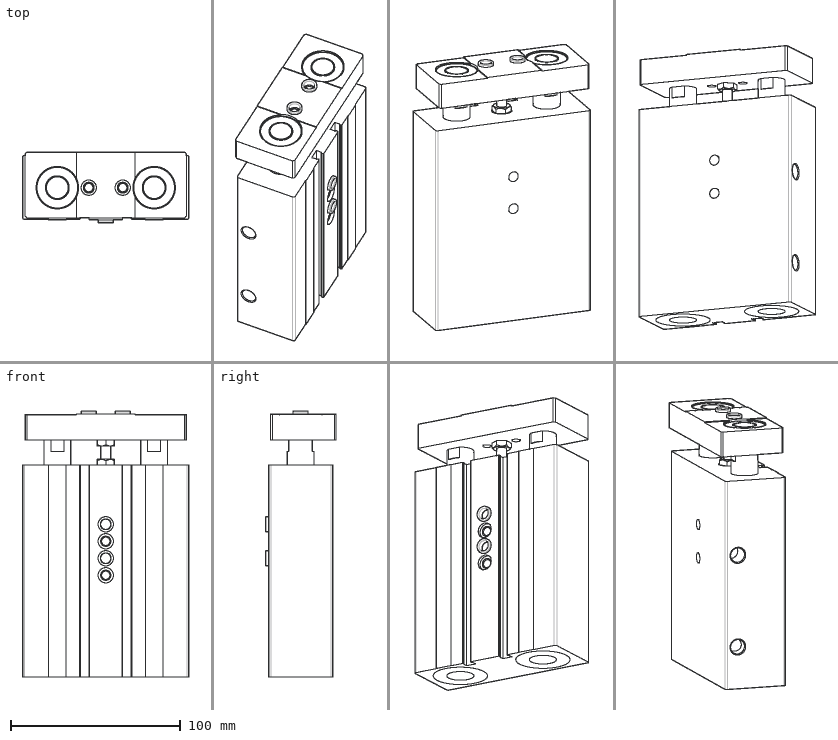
import cadquery as cq
import math


HOUSING_WIDTH = 98.0
HOUSING_HEIGHT = 125.0
HOUSING_BACK_Y = 19.0
HOUSING_FRONT_Y = -19.0
SIDE_FACE_DROP = 0.3
HOUSING_EDGE_RADIUS = 1.2
STRIP_WIDTH = 10.3

SLOT_INNER_X = 10.0
SLOT_OUTER_X = 15.0
SLOT_DEPTH = 5.0
SLOT_LIP = 1.3
SLOT_UNDERCUT = 0.6
SLOT_MOUTH_CHAMFER = 0.4

PLATE_WIDTH = 95.0
PLATE_BACK_Y = 21.0
PLATE_FRONT_Y = -17.75
PLATE_BOTTOM_Z = 139.5
PLATE_TOP_Z = 154.5
PLATE_EDGE = 1.1
PAD_WIDTH = 34.5
PAD_TOP_Z = 155.0

ROD_X = 28.5
ROD_DIAMETER = 16.0
ROD_FLAT_SIZE = 14.0
ROD_FLAT_HEIGHT = 6.5
ROD_RING_OUTER = 25.0
ROD_RING_INNER = 24.0
ROD_RECESS_DEPTH = 0.5
ROD_RING_DEPTH = 1.0
ROD_TIP_DIAMETER = 14.0
ROD_TIP_CHAMFER = 0.6

PISTON_ROD_DIAMETER = 12.0
PISTON_ROD_DEPTH = 20.0
PISTON_THREAD_DIAMETER = 6.0
HEX_SIZE = 10.0
HEX_TURN = 1.5
HEX_BEVEL = 0.9
NUT_HEIGHT = 3.5
WRENCH_HEX_HEIGHT = 3.3

BEARING_DIAMETER = 32.0
BEARING_HEIGHT = 40.0

PORT_Y = 11.3
PORT_HEIGHTS = (25.2, 80.2)
PORT_DIAMETER = 8.57
PORT_MOUTH_DIAMETER = 9.73
PORT_DEPTH = 12.5

SLEEVE_DIAMETER = 9.0
SLEEVE_BORE = 6.4
SLEEVE_PROUD = 1.8
SLEEVE_SEAT_DEPTH = 2.1
CLEARANCE_DIAMETER = 6.0
TAP_DIAMETER = 4.92
TAP_MOUTH_DIAMETER = 6.0
TAP_DEPTH = 12.0
SLEEVED_HOLE_HEIGHTS = (70.0, 90.0)
TAPPED_HOLE_HEIGHTS = (60.0, 80.0)
PLATE_SLEEVE_X = 10.0

DRILL_TIP_HALF_ANGLE = math.radians(59)


def vertical_bar(x, y_front, y_back, width, z_bottom, z_top):
    """Upright box centred on x, between two Y planes and two Z planes."""
    return (
        cq.Workplane("XY", origin=(x, (y_front + y_back) / 2, z_bottom))
        .rect(width, y_back - y_front)
        .extrude(z_top - z_bottom)
    )


def vertical_cylinder(x, diameter, z_bottom, z_top):
    """Upright cylinder whose axis crosses the X axis."""
    return (
        cq.Workplane("XY", origin=(x, 0, z_bottom))
        .circle(diameter / 2)
        .extrude(z_top - z_bottom)
    )


def drill(diameter, mouth_diameter, depth):
    """Blind drill with a 45-degree mouth and a cone tip, mouth at Z = 0, cutting towards -Z."""
    radius = diameter / 2
    mouth_radius = mouth_diameter / 2
    tip_height = radius / math.tan(DRILL_TIP_HALF_ANGLE)
    return (
        cq.Workplane("XZ")
        .moveTo(0, 0)
        .lineTo(mouth_radius, 0)
        .lineTo(radius, radius - mouth_radius)
        .lineTo(radius, -depth)
        .lineTo(0, -depth - tip_height)
        .close()
        .revolve(360, (0, 0, 0), (0, 1, 0))
    )


def turned_to_front(shape):
    """Turns a shape so that what pointed to +Z points to -Y."""
    return shape.rotate((0, 0, 0), (1, 0, 0), 90)


def t_slot(side):
    """T-slot cutter for the slot on the given side (-1 left, +1 right)."""
    mouth_y = HOUSING_FRONT_Y
    lip_y = mouth_y + SLOT_LIP
    floor_y = mouth_y + SLOT_DEPTH
    side_face_y = mouth_y + SIDE_FACE_DROP
    chamfer = SLOT_MOUTH_CHAMFER
    outline = [
        (SLOT_INNER_X - chamfer, mouth_y),
        (SLOT_INNER_X, mouth_y + chamfer),
        (SLOT_INNER_X, lip_y),
        (SLOT_INNER_X - SLOT_UNDERCUT, lip_y + SLOT_UNDERCUT),
        (SLOT_INNER_X - SLOT_UNDERCUT, floor_y),
        (SLOT_OUTER_X + SLOT_UNDERCUT, floor_y),
        (SLOT_OUTER_X + SLOT_UNDERCUT, lip_y + SLOT_UNDERCUT),
        (SLOT_OUTER_X, lip_y),
        (SLOT_OUTER_X, side_face_y + chamfer),
        (SLOT_OUTER_X + chamfer, side_face_y),
        (SLOT_OUTER_X + chamfer, mouth_y),
    ]
    points = [(side * x, y) for x, y in outline]
    return cq.Workplane("XY").polyline(points).close().extrude(HOUSING_HEIGHT)


def make_housing():
    """Slotted block with guide and piston bores, air ports and mounting holes."""
    side_face_y = HOUSING_FRONT_Y + SIDE_FACE_DROP
    body = vertical_bar(0, side_face_y, HOUSING_BACK_Y, HOUSING_WIDTH, 0, HOUSING_HEIGHT)
    body = body.edges("|Z").fillet(HOUSING_EDGE_RADIUS)
    raised_bars = ((-ROD_X, STRIP_WIDTH), (0, 2 * SLOT_INNER_X), (ROD_X, STRIP_WIDTH))
    for x, width in raised_bars:
        body = body.union(vertical_bar(x, HOUSING_FRONT_Y, 0, width, 0, HOUSING_HEIGHT))

    for side in (-1, 1):
        body = body.cut(t_slot(side))
        body = body.cut(vertical_cylinder(side * ROD_X, ROD_DIAMETER, 0, HOUSING_HEIGHT))
    piston_bore_bottom = HOUSING_HEIGHT - PISTON_ROD_DEPTH
    body = body.cut(vertical_cylinder(0, PISTON_ROD_DIAMETER, piston_bore_bottom, HOUSING_HEIGHT))

    port = drill(PORT_DIAMETER, PORT_MOUTH_DIAMETER, PORT_DEPTH).rotate((0, 0, 0), (0, 1, 0), -90)
    for z in PORT_HEIGHTS:
        body = body.cut(port.translate((-HOUSING_WIDTH / 2, PORT_Y, z)))
    for side in (-1, 1):
        body = body.cut(vertical_cylinder(side * ROD_X, BEARING_DIAMETER, 0, BEARING_HEIGHT))

    seat = cq.Workplane("XY").circle(SLEEVE_DIAMETER / 2).extrude(-SLEEVE_SEAT_DEPTH)
    through_depth = HOUSING_BACK_Y - HOUSING_FRONT_Y
    clearance = cq.Workplane("XY").circle(CLEARANCE_DIAMETER / 2).extrude(-through_depth)
    tapped = drill(TAP_DIAMETER, TAP_MOUTH_DIAMETER, TAP_DEPTH).translate((0, 0, -SLEEVE_SEAT_DEPTH))
    for z in SLEEVED_HOLE_HEIGHTS:
        body = body.cut(turned_to_front(seat.union(clearance)).translate((0, HOUSING_FRONT_Y, z)))
    for z in TAPPED_HOLE_HEIGHTS:
        body = body.cut(turned_to_front(seat.union(tapped)).translate((0, HOUSING_FRONT_Y, z)))
    return body


def make_plate():
    """Plate with raised centre pad, a ringed recess at each rod and two sleeve seats."""
    plate = vertical_bar(0, PLATE_FRONT_Y, PLATE_BACK_Y, PLATE_WIDTH, PLATE_BOTTOM_Z, PLATE_TOP_Z)
    plate = plate.edges("|Z").chamfer(PLATE_EDGE)
    plate = plate.union(
        vertical_bar(0, PLATE_FRONT_Y, PLATE_BACK_Y, PAD_WIDTH, PLATE_BOTTOM_Z, PAD_TOP_Z)
    )
    recess_floor = PLATE_TOP_Z - ROD_RECESS_DEPTH
    groove_floor = PLATE_TOP_Z - ROD_RING_DEPTH
    for x in (-ROD_X, ROD_X):
        plate = plate.cut(vertical_cylinder(x, ROD_RING_OUTER, recess_floor, PAD_TOP_Z))
        groove = vertical_cylinder(x, ROD_RING_OUTER, groove_floor, recess_floor)
        plate = plate.cut(groove.cut(vertical_cylinder(x, ROD_RING_INNER, groove_floor, recess_floor)))
        plate = plate.cut(vertical_cylinder(x, ROD_TIP_DIAMETER, PLATE_BOTTOM_Z, PAD_TOP_Z))
    for x in (-PLATE_SLEEVE_X, PLATE_SLEEVE_X):
        seat_bottom = PAD_TOP_Z - SLEEVE_SEAT_DEPTH
        plate = plate.cut(vertical_cylinder(x, SLEEVE_DIAMETER, seat_bottom, PAD_TOP_Z))
        plate = plate.cut(vertical_cylinder(x, TAP_DIAMETER, PLATE_BOTTOM_Z, PAD_TOP_Z))
        mouth = drill(TAP_DIAMETER, TAP_MOUTH_DIAMETER, SLEEVE_SEAT_DEPTH)
        plate = plate.cut(mouth.translate((x, 0, seat_bottom)))
    return plate


def guide_rod(x):
    """Guide rod with two wrench flats below the plate and a bevelled tip inside it."""
    tip_z = PLATE_TOP_Z - ROD_RECESS_DEPTH
    flats_bottom = PLATE_BOTTOM_Z - ROD_FLAT_HEIGHT
    half_flat = ROD_FLAT_SIZE / 2
    neck = vertical_cylinder(x, ROD_DIAMETER, flats_bottom, PLATE_BOTTOM_Z)
    neck = neck.intersect(
        vertical_bar(x, -half_flat, half_flat, ROD_DIAMETER, flats_bottom, PLATE_BOTTOM_Z)
    )
    shaft = vertical_cylinder(x, ROD_DIAMETER, 0, flats_bottom).union(neck)
    tip = vertical_cylinder(x, ROD_TIP_DIAMETER, PLATE_BOTTOM_Z, tip_z)
    tip = tip.faces(">Z").chamfer(ROD_TIP_CHAMFER)
    return shaft.union(tip)


def hexagon(z_bottom, z_top, bevelled_face):
    """Hexagonal prism whose corners are bevelled at the end that the selector picks."""
    corner_diameter = HEX_SIZE / math.cos(math.pi / 6)
    prism = (
        cq.Workplane("XY", origin=(0, 0, z_bottom))
        .transformed(rotate=(0, 0, 30 + HEX_TURN))
        .polygon(6, corner_diameter)
        .extrude(z_top - z_bottom)
    )
    envelope = vertical_cylinder(0, corner_diameter, z_bottom, z_top)
    return prism.intersect(envelope.faces(bevelled_face).chamfer(HEX_BEVEL))


def piston_rod():
    """Piston rod with its wrench hexagon on the housing and its lock nut under the plate."""
    wrench_hex_top = HOUSING_HEIGHT + WRENCH_HEX_HEIGHT
    rod = vertical_cylinder(0, PISTON_ROD_DIAMETER, HOUSING_HEIGHT - PISTON_ROD_DEPTH, HOUSING_HEIGHT)
    rod = rod.union(hexagon(HOUSING_HEIGHT, wrench_hex_top, ">Z"))
    rod = rod.union(vertical_cylinder(0, PISTON_THREAD_DIAMETER, wrench_hex_top, PLATE_BOTTOM_Z))
    return rod.union(hexagon(PLATE_BOTTOM_Z - NUT_HEIGHT, PLATE_BOTTOM_Z, "<Z"))


def make_yoke():
    """The moving body: plate, piston rod and guide rods in one."""
    yoke = make_plate().union(piston_rod())
    for x in (-ROD_X, ROD_X):
        yoke = yoke.union(guide_rod(x))
    return yoke


def guide_bearing(x):
    """Bearing bush round the foot of one guide rod."""
    outer = vertical_cylinder(x, BEARING_DIAMETER, 0, BEARING_HEIGHT)
    return outer.cut(vertical_cylinder(x, ROD_DIAMETER, 0, BEARING_HEIGHT))


def centring_sleeve():
    """Sleeve along Z with a fully rounded outer rim; Z = 0 is the face it stands out of."""
    inner_radius = SLEEVE_BORE / 2
    outer_radius = SLEEVE_DIAMETER / 2
    crest_radius = (inner_radius + outer_radius) / 2
    round_start_z = SLEEVE_PROUD - (outer_radius - inner_radius) / 2
    return (
        cq.Workplane("XZ")
        .moveTo(inner_radius, -SLEEVE_SEAT_DEPTH)
        .lineTo(outer_radius, -SLEEVE_SEAT_DEPTH)
        .lineTo(outer_radius, round_start_z)
        .threePointArc((crest_radius, SLEEVE_PROUD), (inner_radius, round_start_z))
        .close()
        .revolve(360, (0, 0, 0), (0, 1, 0))
    )


housing = make_housing()
yoke = make_yoke()
bearings = [guide_bearing(x) for x in (-ROD_X, ROD_X)]
sleeves = []
for z in SLEEVED_HOLE_HEIGHTS:
    sleeves.append(turned_to_front(centring_sleeve()).translate((0, HOUSING_FRONT_Y, z)))
for x in (-PLATE_SLEEVE_X, PLATE_SLEEVE_X):
    sleeves.append(centring_sleeve().translate((x, 0, PAD_TOP_Z)))

bodies = [housing, yoke, *bearings, *sleeves]
result = cq.Compound.makeCompound([body.val() for body in bodies])